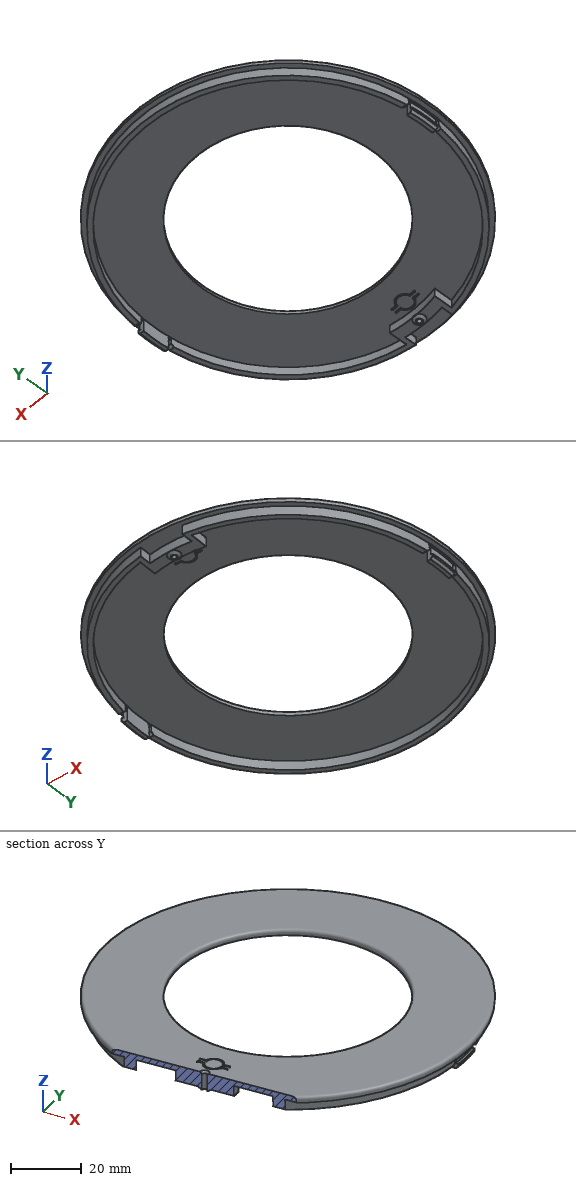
import cadquery as cq
import math

outer_radius = 58.5
bore_radius = 35.1
plate_thickness = 1.9
edge_fillet = 0.9
overlap = 0.2

skirt_outer_radius = 56.7
skirt_inner_radius = 55.0
skirt_bottom = -5.1

notch_half_width = 5.7
notch_top = -2.2
notch_corner = 0.9
tab_half_angle = 5.0
tab_outer_radius = skirt_outer_radius - 0.4
tab_root_bottom = -2.5
hook_outer_radius = 57.1
hook_ledge_bottom = skirt_bottom - 0.2
hook_straight_bottom = -6.2
hook_bottom = -7.0
hook_tip_radius = hook_outer_radius - 0.8

alcove_half_width = 7.6
alcove_back_radius = 52.6
housing_half_width = alcove_half_width + 1.8
housing_inner_radius = 48.7

indicator_y = -50.5
indicator_radius = 0.76
countersink_radius = 1.4
nose_root_radius = 2.1
nose_tip_radius = 1.0
nose_bottom = -5.8

button_y = -45.0
button_radius = 2.6
button_slot_width = 0.5
arm_half_width = 0.53
arm_end_x = 4.8


def ring(inner, outer, bottom, top):
    return cq.Workplane("XY").workplane(offset=bottom).circle(outer).circle(inner).extrude(top - bottom)


def block(x_min, x_max, y_min, y_max, bottom, top):
    return cq.Workplane("XY").box(
        x_max - x_min, y_max - y_min, top - bottom, centered=False
    ).translate((x_min, y_min, bottom))


def cone(x, y, bottom, bottom_radius, top, top_radius):
    solid = cq.Solid.makeCone(bottom_radius, top_radius, top - bottom, cq.Vector(x, y, bottom))
    return cq.Workplane(obj=solid)


def make_plate():
    plate = ring(bore_radius, outer_radius, -plate_thickness, 0)
    return plate.faces(">Z").edges().fillet(edge_fillet)


def make_notches():
    """Notches through the skirt at both ends of X, flared at their lower corners."""
    flare_half_width = notch_half_width + notch_corner
    flare_top = skirt_bottom + notch_corner
    return (
        cq.Workplane("YZ")
        .moveTo(-notch_half_width, notch_top)
        .lineTo(notch_half_width, notch_top)
        .lineTo(notch_half_width, flare_top)
        .lineTo(flare_half_width, skirt_bottom)
        .lineTo(-flare_half_width, skirt_bottom)
        .lineTo(-notch_half_width, flare_top)
        .close()
        .extrude(outer_radius, both=True)
    )


def make_skirt():
    top = -plate_thickness + overlap
    skirt = ring(skirt_inner_radius, skirt_outer_radius, skirt_bottom, top).cut(make_notches())
    housing = ring(housing_inner_radius, skirt_outer_radius, skirt_bottom, top).intersect(
        block(-housing_half_width, housing_half_width, -outer_radius, 0, skirt_bottom, top)
    )
    alcove = ring(alcove_back_radius, outer_radius, skirt_bottom, -plate_thickness).intersect(
        block(-alcove_half_width, alcove_half_width, -outer_radius, 0, skirt_bottom, -plate_thickness)
    )
    return skirt.union(housing).cut(alcove)


def make_tabs():
    """Both snap tabs: a wall and hook profile turned about Z, kept in a wedge at +X and at -X."""
    top = -plate_thickness + overlap
    turned = (
        cq.Workplane("XZ")
        .moveTo(skirt_inner_radius, top)
        .lineTo(skirt_outer_radius, top)
        .lineTo(skirt_outer_radius, notch_top)
        .lineTo(tab_outer_radius, tab_root_bottom)
        .lineTo(tab_outer_radius, skirt_bottom)
        .lineTo(hook_outer_radius, hook_ledge_bottom)
        .lineTo(hook_outer_radius, hook_straight_bottom)
        .lineTo(hook_tip_radius, hook_bottom)
        .lineTo(skirt_inner_radius, hook_bottom)
        .close()
        .revolve(360, (0, 0, 0), (0, 1, 0))
    )
    wedge_half_width = outer_radius * math.tan(math.radians(tab_half_angle))
    wedge = (
        cq.Workplane("XY")
        .workplane(offset=hook_bottom)
        .moveTo(0, 0)
        .lineTo(outer_radius, -wedge_half_width)
        .lineTo(outer_radius, wedge_half_width)
        .close()
        .extrude(top - hook_bottom)
    )
    return turned.intersect(wedge.union(wedge.mirror("YZ")))


def make_button_slots():
    """Two slots that run along the spring arms and half way round the button."""
    slot_outer_radius = button_radius + button_slot_width
    slot_half_width = arm_half_width + button_slot_width
    around = ring(button_radius, slot_outer_radius, -plate_thickness, 0)
    beside = block(
        -arm_end_x, arm_end_x, -slot_half_width, slot_half_width, -plate_thickness, 0
    ).cut(cq.Workplane("XY").circle(button_radius).extrude(-plate_thickness))
    arms = block(-arm_end_x, arm_end_x, -arm_half_width, arm_half_width, -plate_thickness, 0)
    return around.union(beside).cut(arms).translate((0, button_y, 0))


def make_indicator_hole():
    countersink_bottom = indicator_radius - countersink_radius
    bore = cq.Workplane("XY").center(0, indicator_y).circle(indicator_radius).extrude(nose_bottom)
    return bore.union(cone(0, indicator_y, countersink_bottom, indicator_radius, 0, countersink_radius))


nose = cone(0, indicator_y, nose_bottom, nose_tip_radius, skirt_bottom, nose_root_radius)

result = (
    make_plate()
    .union(make_skirt())
    .union(make_tabs())
    .union(nose)
    .cut(make_button_slots())
    .cut(make_indicator_hole())
)